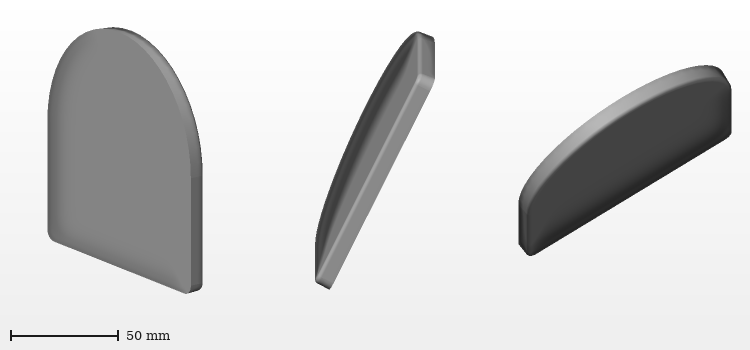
import cadquery as cq
import math

width = 114.0
height = 114.0
thickness = 8.0
corner_radius = 5.0
draft_angle = 3.5
rim_fillet = 1.9

arch_radius = width / 2
spring_height = height - arch_radius


def arch_outline():
    """Face outline on the XZ plane: straight sides below a half-round top."""
    arc_inset = corner_radius * (1 - math.sqrt(0.5))
    flat_end = arch_radius - corner_radius
    return (
        cq.Workplane("XZ")
        .moveTo(-flat_end, 0)
        .lineTo(flat_end, 0)
        .threePointArc((arch_radius - arc_inset, arc_inset), (arch_radius, corner_radius))
        .lineTo(arch_radius, spring_height)
        .threePointArc((0, height), (-arch_radius, spring_height))
        .lineTo(-arch_radius, corner_radius)
        .threePointArc((-arch_radius + arc_inset, arc_inset), (-flat_end, 0))
        .close()
    )


plate = arch_outline().extrude(-thickness, taper=draft_angle)

result = plate.faces(">Y").edges().fillet(rim_fillet)